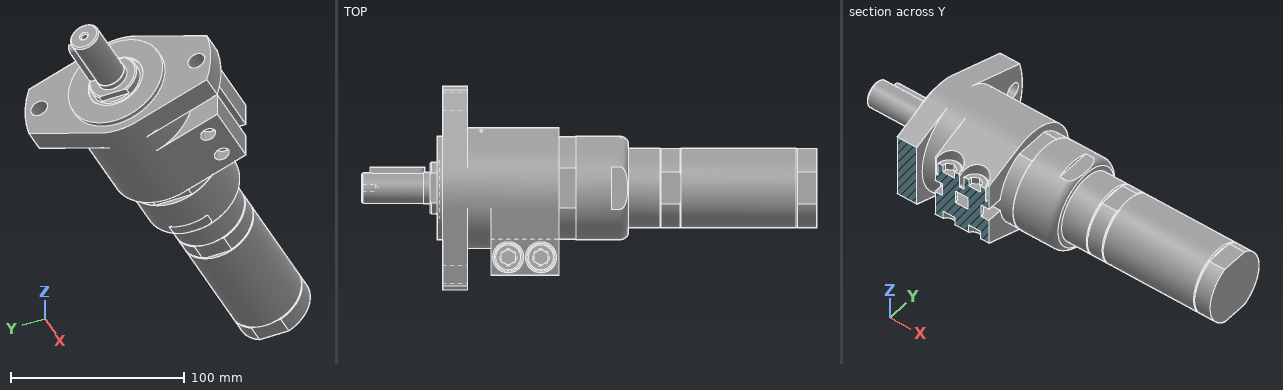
import cadquery as cq
import math


shaft_radius = 9.0
shaft_chamfer = 0.92
shaft_seat_start = 35.8
shaft_seat_radius = 9.2
center_hole_diameter = 4.0
center_hole_depth = 8.0
center_sink_diameter = 5.5

key_start = 4.7
key_end = 36.5
key_width = 6.0
key_top = 12.0

gland_start = 39.5
gland_radius = 15.0
gland_chamfer = 0.8
gland_across_flats = 24.5
recess_diameter = 34.7
recess_depth = 1.3

boss_start = 43.7
boss_radius = 30.0
flange_start = 46.8
flange_end = 61.3
flange_length = 118.0
flange_end_radius = flange_length / 2
flange_corner_height = 16.8
mount_hole_diameter = 10.5
mount_hole_offset = 50.0

body_radius = 35.0
clamp_start = 74.7
clamp_end = 114.1
lug_reach = 50.5
slot_width = 8.7
oiler_diameter = 1.55
oiler_depth = 5.3
oiler_x = 69.2
oiler_y = 33.1

screw_positions = (84.7, 103.5)
screw_offset = 40.0
counterbore_diameter = 18.0
counterbore_floor = 9.7
screw_head_diameter = 16.0
screw_head_height = 10.0
screw_head_chamfer = 0.8
screw_shank_diameter = 10.0
hex_across_corners = 9.5
hex_depth = 5.0
tapped_hole_diameter = 8.5
screw_tip_height = -17.0

collar_radius = 29.7
nut_radius = 30.0
nut_start = 124.0
nut_flat_start = 144.5
nut_round_start = 149.0
nut_end = 154.0
nut_round_radius = 5.3
nut_flat_height = 27.4

barrel_diameter = 46.0
barrel_radius = barrel_diameter / 2
barrel_chamfer = 0.8
barrel_flat_start = 173.0
barrel_flat_end = 184.5
tail_flat_start = 251.7
barrel_end = 263.0
barrel_flat_height = 21.0


def x_cylinder(radius, start, end):
    """Cylinder on the motor axis between two X positions."""
    return cq.Workplane("YZ").workplane(offset=start).circle(radius).extrude(end - start)


def z_cylinder(diameter, x, bottom, top):
    """Vertical cylinder on the line of the clamp screws."""
    return (
        cq.Workplane("XY", origin=(x, -screw_offset, bottom))
        .circle(diameter / 2)
        .extrude(top - bottom)
    )


def flats(half_height, start, end):
    """Cutter that leaves two horizontal flats at plus and minus half_height."""
    length = end - start
    center = (start + length / 2, 0, 0)
    size = 4 * body_radius
    cutter = cq.Workplane("XY", origin=center).box(length, size, size)
    return cutter.cut(cq.Workplane("XY", origin=center).box(length, size, 2 * half_height))


def make_shaft():
    shaft = x_cylinder(shaft_radius, 0, gland_start).faces("<X").chamfer(shaft_chamfer)
    shaft = shaft.union(x_cylinder(shaft_seat_radius, shaft_seat_start, flange_start))
    key_length = key_end - key_start
    key = (
        cq.Workplane("XZ", origin=((key_start + key_end) / 2, 0, 0))
        .slot2D(key_length, key_width)
        .extrude(-key_top)
    )
    gland = x_cylinder(gland_radius, gland_start, flange_start).faces("<X").chamfer(gland_chamfer)
    gland = gland.cut(flats(gland_across_flats / 2, gland_start, boss_start))
    shaft = shaft.union(key).union(gland)

    hole_radius = center_hole_diameter / 2
    sink_radius = center_sink_diameter / 2
    center_hole = (
        cq.Workplane("XY")
        .polyline(
            [
                (0, 0),
                (0, sink_radius),
                (sink_radius - hole_radius, hole_radius),
                (center_hole_depth, hole_radius),
                (center_hole_depth + hole_radius, 0),
            ]
        )
        .close()
        .revolve(360, (0, 0, 0), (1, 0, 0))
    )
    return shaft.cut(center_hole)


def rhombic_plate(start, end):
    """Plate with sides tangent to the body and round ends about the axis."""
    corner_y = math.sqrt(flange_end_radius**2 - flange_corner_height**2)
    corner_z = flange_corner_height
    tangent_angle = math.atan2(corner_z, corner_y) + math.acos(body_radius / flange_end_radius)
    tangent_y = body_radius * math.cos(tangent_angle)
    tangent_z = body_radius * math.sin(tangent_angle)
    return (
        cq.Workplane("YZ", origin=(start, 0, 0))
        .moveTo(corner_y, corner_z)
        .lineTo(tangent_y, tangent_z)
        .threePointArc((0, body_radius), (-tangent_y, tangent_z))
        .lineTo(-corner_y, corner_z)
        .threePointArc((-flange_end_radius, 0), (-corner_y, -corner_z))
        .lineTo(-tangent_y, -tangent_z)
        .threePointArc((0, -body_radius), (tangent_y, -tangent_z))
        .lineTo(corner_y, -corner_z)
        .threePointArc((flange_end_radius, 0), (corner_y, corner_z))
        .close()
        .extrude(end - start)
    )


def make_flange():
    flange = rhombic_plate(flange_start, flange_end)
    holes = (
        cq.Workplane("YZ", origin=(flange_start, 0, 0))
        .pushPoints([(-mount_hole_offset, 0), (mount_hole_offset, 0)])
        .circle(mount_hole_diameter / 2)
        .extrude(flange_end - flange_start)
    )
    boss = x_cylinder(boss_radius, boss_start, flange_start)
    recess = x_cylinder(recess_diameter / 2, boss_start, boss_start + recess_depth)
    return flange.cut(holes).union(boss).cut(recess)


def make_clamp():
    clamp_length = clamp_end - clamp_start
    lug_limits = (
        cq.Workplane("XY", origin=(clamp_start, -lug_reach, 0))
        .box(clamp_length, lug_reach, 4 * body_radius, centered=(False, False, True))
    )
    lug = rhombic_plate(clamp_start, clamp_end).intersect(lug_limits)
    slot = (
        cq.Workplane("XY", origin=(clamp_start, -lug_reach, 0))
        .box(clamp_length, lug_reach, slot_width, centered=(False, False, True))
    )
    body = x_cylinder(body_radius, flange_end, clamp_end)
    clamp = body.union(lug).cut(slot)

    clamp = clamp.union(x_cylinder(collar_radius, clamp_start, nut_start))
    clamp = clamp.cut(flats(nut_flat_height, clamp_end, nut_start))

    oiler_surface = math.sqrt(body_radius**2 - oiler_y**2)
    oiler = (
        cq.Workplane("XY", origin=(oiler_x, oiler_y, oiler_surface - oiler_depth))
        .circle(oiler_diameter / 2)
        .extrude(2 * oiler_depth)
    )
    clamp = clamp.cut(oiler)

    for x in screw_positions:
        clamp = clamp.cut(z_cylinder(counterbore_diameter, x, counterbore_floor, body_radius))
        clamp = clamp.cut(z_cylinder(tapped_hole_diameter, x, -body_radius, screw_tip_height))
        clamp = clamp.union(make_screw(x))
    return clamp


def make_screw(x):
    """Socket head screw, its shank crossing the slot of the clamp."""
    head_top = counterbore_floor + screw_head_height
    head = z_cylinder(screw_head_diameter, x, counterbore_floor, head_top)
    head = head.faces(">Z").chamfer(screw_head_chamfer)
    socket = (
        cq.Workplane("XY", origin=(x, -screw_offset, head_top))
        .transformed(rotate=(0, 0, 90))
        .polygon(6, hex_across_corners)
        .extrude(-hex_depth)
    )
    shank = z_cylinder(screw_shank_diameter, x, -slot_width / 2, counterbore_floor)
    return head.cut(socket).union(shank)


def make_nut():
    round_length = nut_end - nut_round_start
    round_drop = nut_round_radius - math.sqrt(nut_round_radius**2 - round_length**2)
    half_angle = math.asin(round_length / nut_round_radius) / 2
    round_middle = (
        nut_round_start + nut_round_radius * math.sin(half_angle),
        nut_radius - nut_round_radius * (1 - math.cos(half_angle)),
    )
    nut = (
        cq.Workplane("XY")
        .moveTo(nut_start, 0)
        .lineTo(nut_start, nut_radius)
        .lineTo(nut_round_start, nut_radius)
        .threePointArc(round_middle, (nut_end, nut_radius - round_drop))
        .lineTo(nut_end, 0)
        .close()
        .revolve(360, (0, 0, 0), (1, 0, 0))
    )
    return nut.cut(flats(nut_flat_height, nut_flat_start, nut_end))


def make_barrel():
    front = x_cylinder(barrel_radius, nut_end, barrel_flat_start)
    waist = x_cylinder(barrel_radius, barrel_flat_start, barrel_flat_end)
    motor = x_cylinder(barrel_radius, barrel_flat_end, tail_flat_start)
    tail = x_cylinder(barrel_radius, tail_flat_start, barrel_end)
    barrel = tail
    for section in (motor, waist, front):
        barrel = barrel.union(section.faces(">X").chamfer(barrel_chamfer))
    barrel = barrel.cut(flats(barrel_flat_height, barrel_flat_start, barrel_flat_end))
    return barrel.cut(flats(barrel_flat_height, tail_flat_start, barrel_end))


result = (
    make_clamp()
    .union(make_flange())
    .union(make_shaft())
    .union(make_nut())
    .union(make_barrel())
)